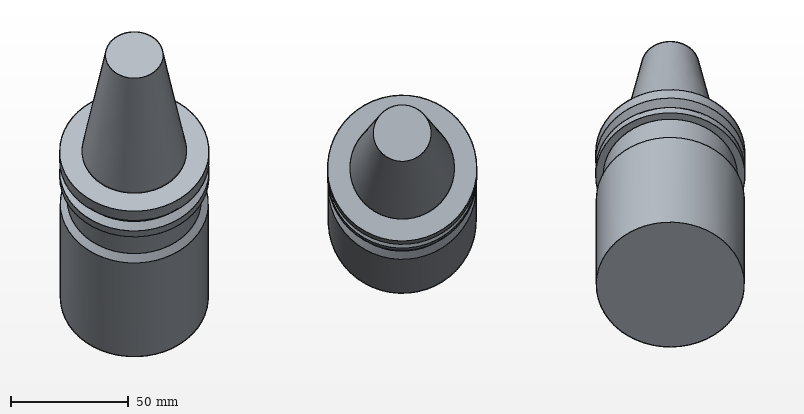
import cadquery as cq

total_height = 173.0

body_diameter = 63.0
neck_diameter = 57.0
flange_diameter = 63.5
groove_diameter = 56.4
taper_large_diameter = 44.5
taper_small_diameter = 24.5

body_height = 67.0
neck_bottom = 69.7
flange_bottom = 86.0
flange_top = 104.3
taper_collar_height = 0.5

groove_center = 93.9
groove_mouth_width = 7.5
groove_floor_width = 3.6


def step_profile(steps):
    """Half section for revolving, from (diameter, height) corners."""
    corners = [(diameter / 2, height) for diameter, height in steps]
    base = (0, steps[0][1])
    top = (0, steps[-1][1])
    return cq.Workplane("XZ").polyline([base, *corners, top]).close()


def revolved(steps):
    return step_profile(steps).revolve(360, (0, 0), (0, 1))


body = revolved([
    (body_diameter, 0),
    (body_diameter, body_height),
    (neck_diameter, neck_bottom),
    (neck_diameter, flange_bottom),
])

flange = revolved([
    (flange_diameter, flange_bottom),
    (flange_diameter, groove_center - groove_mouth_width / 2),
    (groove_diameter, groove_center - groove_floor_width / 2),
    (groove_diameter, groove_center + groove_floor_width / 2),
    (flange_diameter, groove_center + groove_mouth_width / 2),
    (flange_diameter, flange_top),
])

shank = revolved([
    (taper_large_diameter, flange_top),
    (taper_large_diameter, flange_top + taper_collar_height),
    (taper_small_diameter, total_height),
])

result = body.union(flange).union(shank)